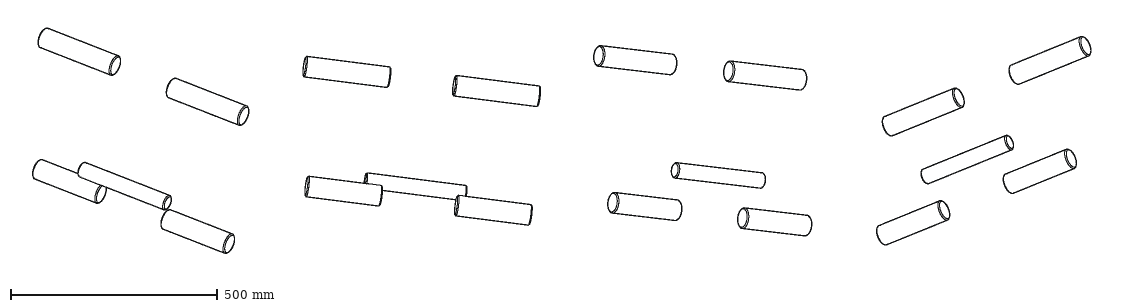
import cadquery as cq

PIN_DIAMETER = 51.0
CENTER_PIN_DIAMETER = 38.0
UPPER_PIN_LENGTH = 209.0
LOWER_PIN_LENGTH = 184.0
CENTER_PIN_LENGTH = 248.5
CHAMFER = 3.0

OVERALL_LENGTH = 578.0
PAIR_SPACING = OVERALL_LENGTH - UPPER_PIN_LENGTH

UPPER_PIN_Y = 44.5
UPPER_PIN_Z = 369.0
CENTER_PIN_Y = -40.5
CENTER_PIN_Z = 89.0


def chamfered_pin(diameter, length, middle):
    """Round pin along X, centred on the given point, with both end edges chamfered."""
    pin = cq.Workplane("YZ", origin=(-length / 2, 0, 0)).circle(diameter / 2).extrude(length)
    return pin.faces("<X or >X").edges().chamfer(CHAMFER).translate(middle)


upper_pins = []
lower_pins = []
for side in (-1, 1):
    pin_x = side * PAIR_SPACING / 2
    upper_pins.append(chamfered_pin(PIN_DIAMETER, UPPER_PIN_LENGTH, (pin_x, UPPER_PIN_Y, UPPER_PIN_Z)))
    lower_pins.append(chamfered_pin(PIN_DIAMETER, LOWER_PIN_LENGTH, (pin_x, 0, 0)))

center_pin = chamfered_pin(CENTER_PIN_DIAMETER, CENTER_PIN_LENGTH, (0, CENTER_PIN_Y, CENTER_PIN_Z))

result = cq.Compound.makeCompound(
    [pin.val() for pin in upper_pins + lower_pins] + [center_pin.val()]
)